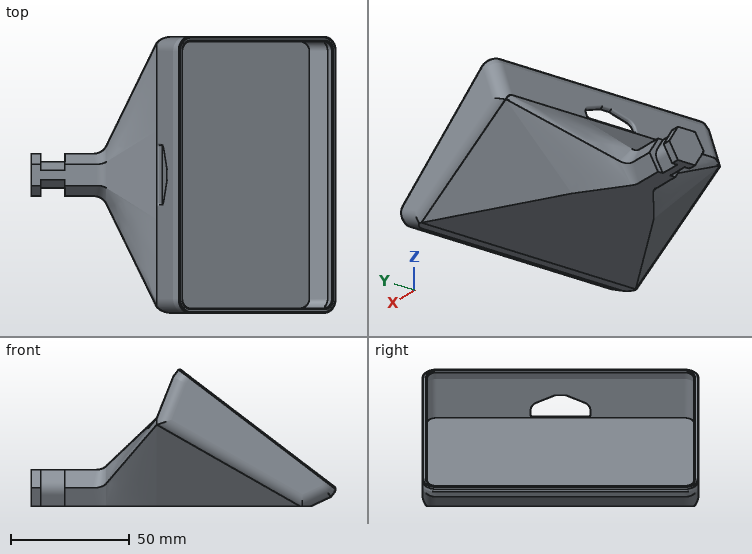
import cadquery as cq
import math

shank_across_flats = 15.5
shank_length = 30.0
groove_start = 4.1
groove_end = 14.3
groove_across_flats = 11.2
neck_end = 31.6
axis_z = shank_across_flats / 2
tolerance = 0.01

tray_width = 116.5
wall = 2.0
corner_radius = 6.0
floor_thickness = 3.6
seat_depth = 1.2
joint_x = 52.9
joint_top = 37.2
joint_bottom = 34.4
heel_x = 113.4
back_bend = (59.9, 54.7)
rim_bend_back = (61.5, 56.9)
rim_back = (62.4, 58.0)
rim_end = (128.6, 7.7)
rim_bend_end = (128.0, 6.2)
end_bend = (126.4, 4.0)
end_foot = (117.9, 0.0)
rim_chamfer = 0.5
back_foot = (joint_x, joint_top)
seat_top = (joint_x, joint_bottom)
heel = (heel_x, 0)

opening_half_width = 12.6
opening_height = 10.0
opening_shoulder = 5.7
opening_top_half = 2.3
opening_shoulder_radius = 3.9
opening_foot_radius = 0.8
opening_edge_radius = 0.8
opening_lift = 1.0

mouth_top_half = 18.8
mouth_bottom_half = 21.3
mouth_turn_start = tray_width / 2 - corner_radius
mouth_side_half = mouth_turn_start + math.sqrt(corner_radius**2 - (corner_radius - seat_depth) ** 2)


def along_y(points, width):
    """Prism of an XZ outline, centred on Y = 0."""
    return cq.Workplane("XZ").polyline(points).close().extrude(width / 2, both=True)


def offset_line(start, end, distance):
    """Line moved to its left by a distance, given as two points."""
    length = math.dist(start, end)
    shift_x = (start[1] - end[1]) / length * distance
    shift_z = (end[0] - start[0]) / length * distance
    return (start[0] + shift_x, start[1] + shift_z), (end[0] + shift_x, end[1] + shift_z)


def meet(line_a, line_b):
    """Point where two lines cross."""
    (ax, az), (bx, bz) = line_a
    (cx, cz), (dx, dz) = line_b
    cross = (bx - ax) * (dz - cz) - (bz - az) * (dx - cx)
    t = ((cx - ax) * (dz - cz) - (cz - az) * (dx - cx)) / cross
    return ax + t * (bx - ax), az + t * (bz - az)


def tray_block(back_path, end_path, inset, floor_height, radius, round_floor):
    """Block between the two wall paths moved inwards, on a floor parallel to the seat, with rounded sides."""
    sides = [offset_line(a, b, inset) for a, b in zip(back_path, back_path[1:])]
    sides.append(offset_line(seat_top, heel, floor_height))
    sides += [offset_line(a, b, inset) for a, b in zip(end_path, end_path[1:])]
    rim = (rim_end, rim_back)
    outline = [meet(a, b) for a, b in zip([rim] + sides, sides + [rim])]
    half_width = tray_width / 2 - inset
    block = along_y(outline, 2 * half_width).val()
    floor_number = len(back_path) - 1
    edges = []
    for number, (a, b) in enumerate(zip(outline, outline[1:])):
        if number == floor_number and not round_floor:
            continue
        for y in (-half_width, half_width):
            middle = cq.Vector((a[0] + b[0]) / 2, y, (a[1] + b[1]) / 2)
            edges.append(min(block.Edges(), key=lambda edge: (edge.Center() - middle).Length))
    return cq.Workplane(block.fillet(radius, edges))


def back_wall_directions():
    """Unit vectors up the back wall and out of it."""
    up = cq.Vector(back_bend[0] - back_foot[0], 0, back_bend[1] - back_foot[1]).normalized()
    return up, cq.Vector(-up.z, 0, up.x)


def back_opening():
    """Cutter for the opening, pushed straight through the back wall."""
    up, outward = back_wall_directions()
    origin = cq.Vector(back_foot[0], 0, back_foot[1]) + up * opening_lift
    wall_face = cq.Plane(origin.toTuple(), xDir=(0, -1, 0), normal=outward.toTuple())
    right = [
        (opening_half_width, 0),
        (opening_half_width, opening_shoulder),
        (opening_top_half, opening_height),
    ]
    left = [(-y, height) for y, height in reversed(right)]
    hole = cq.Workplane(wall_face).polyline(right + left).close().extrude(-2 * wall)
    through = cq.selectors.ParallelDirSelector(outward)
    hole = hole.edges(through).edges("<Z").fillet(opening_foot_radius)
    return hole.edges(through).edges(">Y or <Y").fillet(opening_shoulder_radius)


def round_opening(tray):
    """Rounds the outer edge of the opening in the back wall."""
    _, outward = back_wall_directions()
    foot = cq.Vector(back_foot[0], 0, back_foot[1])
    edges = []
    for edge in tray.edges().vals():
        center = edge.Center()
        on_wall = abs((center - foot).dot(outward)) < tolerance
        above_foot = joint_top + tolerance < center.z < joint_top + opening_height + opening_lift
        if on_wall and above_foot and abs(center.y) < tray_width / 4:
            edges.append(edge)
    return cq.Workplane(tray.val().fillet(opening_edge_radius, edges))


def make_tray():
    outer_back = [rim_back, rim_bend_back, back_bend, back_foot]
    outer_end = [end_foot, end_bend, rim_bend_end, rim_end]
    tray = tray_block(outer_back, outer_end, 0, -seat_depth, corner_radius, True)
    kept = [seat_top, heel, (rim_end[0], 0), (rim_end[0], rim_back[1]), (joint_x, rim_back[1])]
    tray = tray.intersect(along_y(kept, tray_width))
    inner_back = [rim_back, back_bend, back_foot]
    inner_end = [end_foot, end_bend, rim_end]
    cavity = tray_block(inner_back, inner_end, wall, floor_thickness, corner_radius - wall, False)
    tray = round_opening(tray.cut(cavity).cut(back_opening()))
    rim_normal = cq.Vector(rim_back[1] - rim_end[1], 0, rim_end[0] - rim_back[0])
    return tray.faces(cq.selectors.DirectionMinMaxSelector(rim_normal)).chamfer(rim_chamfer)


def line(start, end):
    return cq.Edge.makeLine(start, end)


def flat_face(*edges):
    return cq.Face.makeFromWires(cq.Wire.assembleEdges(edges))


def polygon_face(*points):
    return cq.Face.makeFromWires(cq.Wire.makePolygon(points, close=True))


def mirrored(point):
    return cq.Vector(point.x, -point.y, point.z)


def mirrored_back(points):
    """Mirror images of the points in reverse order, which close a symmetric outline."""
    return [mirrored(point) for point in reversed(points)]


def closed_solid(half_faces, middle_faces):
    """Solid bounded by the faces of its +Y half, their mirror images and the faces crossing Y = 0."""
    faces = half_faces + [face.mirror("XZ") for face in half_faces] + middle_faces
    return cq.Workplane(cq.Solid.makeSolid(cq.Shell.makeShell(faces)).fix())


def neck_curve(corner, mouth_corner):
    """Concave arc that turns a shank edge towards a mouth corner: start, end and edge."""
    along_shank = cq.Vector(1, 0, 0)
    along_funnel = (mouth_corner - corner).normalized()
    reach = (neck_end - shank_length) / along_funnel.x
    start = corner - along_shank * reach
    end = corner + along_funnel * reach
    return start, end, cq.Edge.makeTangentArc(start, along_shank, end)


def make_shank_and_neck(corners, mouth_corners):
    """Hexagonal bar whose edges flare out, each along its own arc, up to the plane X = neck_end."""
    curves = [neck_curve(corner, mouth) for corner, mouth in zip(corners, mouth_corners)]
    tips = [cq.Vector(0, corner.y, corner.z) for corner in corners]
    half_faces = []
    for upper, lower, tip_a, tip_b in zip(curves, curves[1:], tips, tips[1:]):
        start_a, _, arc_a = upper
        start_b, _, arc_b = lower
        half_faces.append(polygon_face(tip_a, start_a, start_b, tip_b))
        half_faces.append(cq.Face.makeRuledSurface(arc_a, arc_b))
    ends = [end for _, end, _ in curves]
    top_start, _, top_arc = curves[0]
    bottom_start, _, bottom_arc = curves[2]
    middle_faces = [
        polygon_face(*tips, *mirrored_back(tips)),
        polygon_face(*ends, *mirrored_back(ends)),
        polygon_face(tips[0], top_start, mirrored(top_start), mirrored(tips[0])),
        cq.Face.makeRuledSurface(top_arc, top_arc.mirror("XZ")),
        polygon_face(tips[2], bottom_start, mirrored(bottom_start), mirrored(tips[2])),
        cq.Face.makeRuledSurface(bottom_arc, bottom_arc.mirror("XZ")),
    ]
    return closed_solid(half_faces, middle_faces), ends


def make_funnel(neck_ends, mouth_corners):
    """Ruled sides from the neck to the mouth, and the wedge that carries the tray on its sloping seat."""
    neck_top, neck_side, neck_bottom = neck_ends
    mouth_top, mouth_side, mouth_bottom = mouth_corners
    sideways = cq.Vector(0, 1, 0)
    turn_start = cq.Vector(joint_x, mouth_turn_start, joint_top)
    turn_end = cq.Vector(0, mouth_side_half - mouth_turn_start, -2 * (joint_top - joint_bottom))
    mouth_rim = cq.Edge.makeSpline([mouth_top, turn_start, mouth_side], [sideways, sideways, turn_end])
    wedge_tip = cq.Vector(heel_x, mouth_side_half, 0)
    half_faces = [
        cq.Face.makeRuledSurface(line(neck_top, neck_side), mouth_rim),
        cq.Face.makeRuledSurface(line(neck_side, neck_bottom), line(mouth_side, mouth_bottom)),
        polygon_face(mouth_side, mouth_bottom, wedge_tip),
    ]
    bottom = [neck_bottom, mouth_bottom, wedge_tip]
    middle_faces = [
        polygon_face(*neck_ends, *mirrored_back(neck_ends)),
        polygon_face(*bottom, *mirrored_back(bottom)),
        polygon_face(neck_top, mouth_top, mirrored(mouth_top), mirrored(neck_top)),
        polygon_face(mouth_side, wedge_tip, mirrored(wedge_tip), mirrored(mouth_side)),
        flat_face(
            line(mouth_side, mirrored(mouth_side)),
            mouth_rim.mirror("XZ"),
            line(mirrored(mouth_top), mouth_top),
            mouth_rim,
        ),
    ]
    return closed_solid(half_faces, middle_faces)


def shank_groove():
    """Cutter that leaves a narrower core with rounded sides between the top and bottom flats."""
    core_radius = groove_across_flats / 2
    tilt = math.radians(30)
    tangent_y = core_radius * math.cos(tilt)
    tangent_z = core_radius * math.sin(tilt)
    flat_half = core_radius / math.cos(tilt) - axis_z * math.tan(tilt)
    groove = cq.Workplane("YZ", origin=(groove_start, 0, axis_z))
    length = groove_end - groove_start
    core = (
        groove.moveTo(flat_half, axis_z)
        .lineTo(tangent_y, tangent_z)
        .threePointArc((core_radius, 0), (tangent_y, -tangent_z))
        .lineTo(flat_half, -axis_z)
        .lineTo(-flat_half, -axis_z)
        .lineTo(-tangent_y, -tangent_z)
        .threePointArc((-core_radius, 0), (-tangent_y, tangent_z))
        .lineTo(-flat_half, axis_z)
        .close()
        .extrude(length)
    )
    return groove.rect(2 * shank_across_flats, shank_across_flats).extrude(length).cut(core)


def make_holder():
    hexagon_side = shank_across_flats / math.sqrt(3)
    corners = [
        cq.Vector(shank_length, hexagon_side / 2, shank_across_flats),
        cq.Vector(shank_length, hexagon_side, axis_z),
        cq.Vector(shank_length, hexagon_side / 2, 0),
    ]
    mouth_corners = [
        cq.Vector(joint_x, mouth_top_half, joint_top),
        cq.Vector(joint_x, mouth_side_half, joint_bottom),
        cq.Vector(joint_x, mouth_bottom_half, 0),
    ]
    shank, neck_ends = make_shank_and_neck(corners, mouth_corners)
    funnel = make_funnel(neck_ends, mouth_corners)
    return shank.union(funnel).cut(shank_groove())


holder = make_holder()
tray = make_tray()
result = cq.Compound.makeCompound([holder.val(), tray.val()])